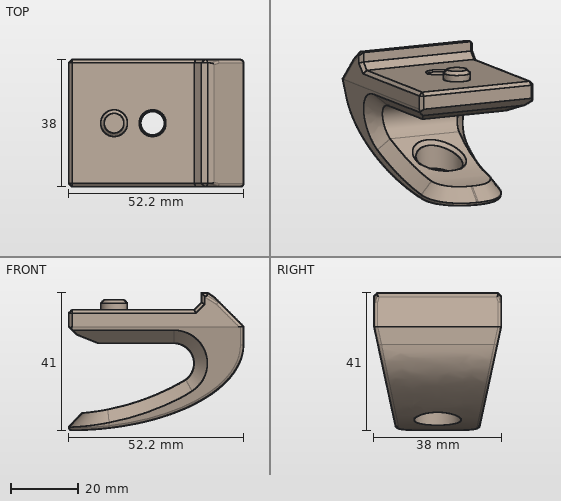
import cadquery as cq
import math

length = 52.15
width = 38.0
height = 41.0
edge_chamfer = 1.05

plate_top = 36.0
plate_side_bottom = 31.0
lip_foot_x = 37.45
lip_front_x = 39.6
lip_foot_rise = lip_front_x - lip_foot_x
lip_crest_end_x = 41.5
lip_shoulder_x = 43.3
lip_shoulder_z = plate_side_bottom + length - lip_shoulder_x

arc_start_z = 25.7
side_taper = 12.2
back_radius = 1.05
tip_radius = 12.0

ceiling_z = 26.0
nose_length = 8.75
nose_break_x = 2.45
throat_radius = 6.0
throat_x = 31.35
throat_z = ceiling_z - throat_radius
throat_end_angle = -54.0
arm_mid = (20.55, 8.6)
arm_end = (0.0, 5.0)
mouth_chamfer = 4.0

pin_x = 13.55
pin_diameter = 8.0
pin_height = 2.95
hole_x = 25.05
hole_diameter = 7.0
hole_rim_diameter = 8.0
access_diameter = 14.0
access_chamfer = 1.05


def extrude_across(profile):
    """Extrude an XZ profile over the full width, centred on Y = 0."""
    return profile.extrude(width).translate((0, width / 2, 0))


def throat_point(angle):
    angle = math.radians(angle)
    return (throat_x + throat_radius * math.cos(angle), throat_z + throat_radius * math.sin(angle))


def make_plate():
    plate = extrude_across(
        cq.Workplane("XZ")
        .moveTo(0, plate_side_bottom)
        .lineTo(0, plate_top)
        .lineTo(lip_foot_x, plate_top)
        .lineTo(lip_front_x, plate_top + lip_foot_rise)
        .lineTo(lip_front_x, height)
        .lineTo(lip_crest_end_x, height)
        .lineTo(lip_shoulder_x, lip_shoulder_z)
        .lineTo(length, plate_side_bottom)
        .close()
    )
    slope_zone = cq.selectors.BoxSelector(
        (lip_shoulder_x, -width, plate_side_bottom + 0.5), (length, width, lip_shoulder_z)
    )
    side_edges = plate.faces("<Y or >Y").edges("not <Z").edges(-slope_zone)
    front_edge = plate.faces("<X").edges(">Z")
    plate = side_edges.add(front_edge).chamfer(edge_chamfer)
    return plate.edges(slope_zone).edges("not #X").edges("not |Y").fillet(back_radius)


def make_hook():
    hook = extrude_across(
        cq.Workplane("XZ")
        .moveTo(0, plate_side_bottom)
        .lineTo(length, plate_side_bottom)
        .lineTo(length, arc_start_z)
        .ellipseArc(length, arc_start_z, 270, 360, startAtCurrent=True, sense=-1)
        .close()
    )
    bottom_half_width = width / 2 - plate_side_bottom * math.tan(math.radians(side_taper))
    taper = (
        cq.Workplane("YZ")
        .moveTo(-width / 2, plate_side_bottom)
        .lineTo(width / 2, plate_side_bottom)
        .lineTo(bottom_half_width, 0)
        .lineTo(-bottom_half_width, 0)
        .close()
        .extrude(length)
    )
    mouth = extrude_across(
        cq.Workplane("XZ")
        .moveTo(0, ceiling_z)
        .lineTo(throat_x, ceiling_z)
        .threePointArc(throat_point(0), throat_point(throat_end_angle))
        .threePointArc(arm_mid, arm_end)
        .close()
    )
    hook = hook.intersect(taper).cut(mouth)
    tip_zone = cq.selectors.BoxSelector((-0.5, -width, 0.05), (0.5, width, arm_end[1] - 0.05))
    hook = hook.edges(tip_zone).fillet(tip_radius)
    ceiling = cq.selectors.BoxSelector((0.5, -width, ceiling_z - 0.5), (throat_x, width, ceiling_z + 0.5))
    mouth_rim = hook.faces(ceiling).edges("|X")
    hook = mouth_rim.chamfer(mouth_chamfer)

    outer_rim = hook.faces("<Z").edges("not |Y").add(hook.faces(">X").edges("not |Y"))
    hook = outer_rim.fillet(back_radius)

    nose = extrude_across(
        cq.Workplane("XZ")
        .moveTo(0, plate_side_bottom)
        .lineTo(nose_break_x, plate_side_bottom - nose_break_x)
        .lineTo(nose_length, ceiling_z)
        .lineTo(0, ceiling_z)
        .close()
    )
    corner_bevels = (
        cq.Workplane("XY")
        .rect(2 * length, width)
        .extrude(height)
        .translate((length, 0, 0))
        .edges("|Z and <X")
        .chamfer(edge_chamfer)
    )
    return hook.cut(nose).intersect(corner_bevels)


def add_pin(body):
    pin = (
        cq.Workplane("XY", origin=(pin_x, 0, plate_top))
        .circle(pin_diameter / 2)
        .extrude(pin_height)
        .faces(">Z")
        .chamfer(edge_chamfer)
    )
    return body.union(pin)


def cut_plate_hole(body):
    rim_depth = (hole_rim_diameter - hole_diameter) / 2
    hole = (
        cq.Workplane("XY", origin=(hole_x, 0, throat_z))
        .circle(hole_diameter / 2)
        .extrude(plate_top - throat_z)
    )
    countersink = cq.Solid.makeCone(
        hole_diameter / 2,
        hole_rim_diameter / 2,
        rim_depth,
        pnt=cq.Vector(hole_x, 0, plate_top - rim_depth),
    )
    return body.cut(hole).cut(cq.Workplane(countersink))


def cut_access_hole(hook):
    """Bore the arm below the plate hole and break the bore's upper rim."""
    bore = cq.Workplane("XY", origin=(hole_x, 0, 0)).circle(access_diameter / 2).extrude(throat_z)
    bored = hook.cut(bore)
    half = access_diameter / 2
    rim_zone = cq.selectors.BoxSelector(
        (hole_x - half, -half, arm_mid[1]), (hole_x + half, half, throat_z)
    )
    return bored.edges(rim_zone).edges("not |Z").chamfer(access_chamfer)


plate = make_plate()
hook = cut_access_hole(make_hook())
result = cut_plate_hole(add_pin(plate.union(hook)))